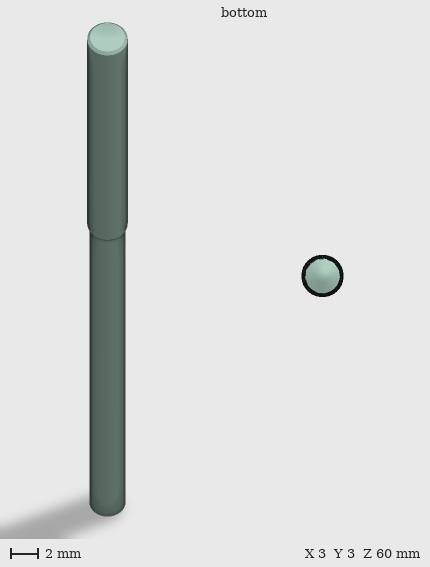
import cadquery as cq

total_length = 60.0
shank_diameter = 3.0
blade_diameter = 2.7
shank_bottom = 35.9
neck_bottom = 32.5
point_height = 0.55
shank_taper_height = 0.3
top_chamfer = 0.21

shank_radius = shank_diameter / 2
blade_radius = blade_diameter / 2


def make_shank():
    """Thick gripping cylinder, tapered at the bottom and chamfered at the top."""
    half_profile = (
        cq.Workplane("XZ")
        .polyline([
            (0, shank_bottom),
            (blade_radius, shank_bottom),
            (shank_radius, shank_bottom + shank_taper_height),
            (shank_radius, total_length - top_chamfer),
            (shank_radius - top_chamfer, total_length),
            (0, total_length),
        ])
        .close()
    )
    return half_profile.revolve(360, (0, 0, 0), (0, 1, 0))


def make_neck():
    """Plain cylinder joining the shank to the blade."""
    return (
        cq.Workplane("XY", origin=(0, 0, neck_bottom))
        .circle(blade_radius)
        .extrude(shank_bottom - neck_bottom)
    )


def make_blade():
    """Long thin cylinder ending in a shallow conical point."""
    half_profile = (
        cq.Workplane("XZ")
        .polyline([(0, 0), (blade_radius, point_height), (blade_radius, neck_bottom), (0, neck_bottom)])
        .close()
    )
    return half_profile.revolve(360, (0, 0, 0), (0, 1, 0))


shank = make_shank()
neck = make_neck()
blade = make_blade()

result = cq.Compound.makeCompound([shank.val(), neck.val(), blade.val()])